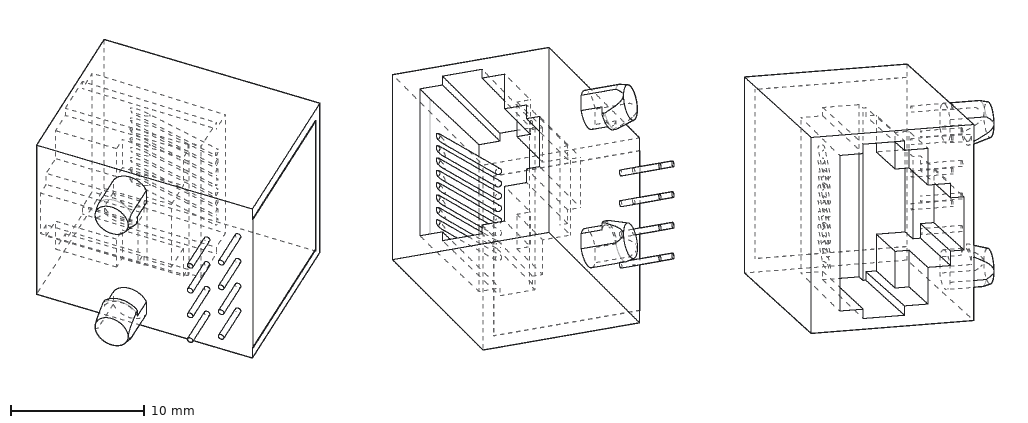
import cadquery as cq


BODY_LENGTH = 17.69
BODY_DEPTH = 12.75
BODY_WIDTH = 15.3
OVERALL_LENGTH = 17.74
OVERALL_DEPTH = 16.2
REAR_PANEL_DEPTH = 11.9
REAR_PANEL_WIDTH = 13.2

CAVITY_LENGTH = 11.0
PLUG_WIDTH = 12.14
PLUG_TOP_Y = 10.5
SHELF_Y = 5.74

TOP_TAPER_START = 1.95
TOP_TAPER_DROP = 0.21

GROOVE_WIDTH = 13.6
GROOVE_TOP_Y = 8.67
GROOVE_BOTTOM_Y = 5.44
GROOVE_DRAFT = 0.08

SHELF_LENGTH = 10.0
SHOULDER_Y = 3.6
SHOULDER_BACK_Y = 4.69
SHOULDER_LENGTH = 5.0
LATCH_WIDTH = 6.42
LATCH_Y = 1.82
LATCH_BACK_Y = 2.42
LATCH_LENGTH = 8.0
TONGUE_WIDTH = 4.15
TONGUE_Y = 0.77

CONTACT_COUNT = 8
CONTACT_PITCH = 1.02
CONTACT_DIAMETER = 0.5
CONTACT_BEND_X = 3.45
CONTACT_BEND_Y = 10.49
CONTACT_ROOT_RUN = 0.5
CONTACT_EMBED = 1.0
CONTACT_END_Y = 8.7

PIN_DIAMETER = 0.46
PIN_LENGTH = 3.2
PIN_PITCH = 2.54
PIN_ROWS = 2
PINS_PER_ROW = 4
PIN_FRONT_ROW_X = 13.98

POST_X = 7.65
POST_SPACING = 11.43
POST_LENGTH = OVERALL_DEPTH - BODY_DEPTH
POST_RADIUS = 1.5
POST_FLAT_WIDTH = 2.72
POST_TIP_RADIUS = 1.355
POST_CHAMFER_START = 2.82
BARB_RADIUS = 1.8
BARB_START = 1.68
BARB_TAPER_START = 1.92


def block(x_range, y_range, width):
    """Box spanning the X and Y ranges, centred on Z = 0."""
    length = x_range[1] - x_range[0]
    depth = y_range[1] - y_range[0]
    box = cq.Workplane("XY").box(length, depth, width, centered=(False, False, True))
    return box.translate((x_range[0], y_range[0], 0))


def make_housing():
    body = block((0, BODY_LENGTH), (0, BODY_DEPTH), BODY_WIDTH)
    rear_panel = block((BODY_LENGTH, OVERALL_LENGTH), (0, REAR_PANEL_DEPTH), REAR_PANEL_WIDTH)
    return body.union(rear_panel)


def make_main_cavity():
    """Plug space with a sloping top wall and a shallower shelf at the bottom."""
    outline = [
        (0, PLUG_TOP_Y),
        (TOP_TAPER_START, PLUG_TOP_Y),
        (CAVITY_LENGTH, PLUG_TOP_Y - TOP_TAPER_DROP),
        (CAVITY_LENGTH, SHELF_Y),
        (SHELF_LENGTH, SHELF_Y),
        (SHELF_LENGTH, SHOULDER_BACK_Y),
        (0, SHOULDER_BACK_Y),
    ]
    profile = cq.Workplane("XY").polyline(outline).close()
    return profile.extrude(PLUG_WIDTH / 2, both=True)


def make_groove_cavity():
    """Wider band for the side grooves, narrowing slightly toward the rear."""
    middle_y = (GROOVE_TOP_Y + GROOVE_BOTTOM_Y) / 2
    height = GROOVE_TOP_Y - GROOVE_BOTTOM_Y
    inset = 2 * GROOVE_DRAFT
    return (
        cq.Workplane("YZ", origin=(0, middle_y, 0))
        .rect(height, GROOVE_WIDTH)
        .workplane(offset=CAVITY_LENGTH)
        .rect(height - inset, GROOVE_WIDTH - inset)
        .loft(ruled=True)
    )


def make_cavity():
    shelf_filler = block((SHELF_LENGTH, CAVITY_LENGTH), (0, SHELF_Y), BODY_WIDTH)
    cavity = make_main_cavity().union(make_groove_cavity()).cut(shelf_filler)
    cavity = cavity.union(block((0, SHOULDER_LENGTH), (SHOULDER_Y, GROOVE_TOP_Y), PLUG_WIDTH))
    cavity = cavity.union(block((0, SHELF_LENGTH), (LATCH_BACK_Y, GROOVE_TOP_Y), LATCH_WIDTH))
    cavity = cavity.union(block((0, LATCH_LENGTH), (LATCH_Y, GROOVE_TOP_Y), LATCH_WIDTH))
    return cavity.union(block((0, LATCH_LENGTH), (TONGUE_Y, GROOVE_TOP_Y), TONGUE_WIDTH))


def make_contacts():
    """Wires leaving the top wall at 45 degrees, then sloping gently to the rear cavity wall."""
    slope = (CONTACT_BEND_Y - CONTACT_END_Y) / (CAVITY_LENGTH - CONTACT_BEND_X)
    root = (CONTACT_BEND_X - CONTACT_ROOT_RUN, CONTACT_BEND_Y + CONTACT_ROOT_RUN)
    bend = (CONTACT_BEND_X, CONTACT_BEND_Y)
    end = (CAVITY_LENGTH + CONTACT_EMBED, CONTACT_END_Y - slope * CONTACT_EMBED)
    path = cq.Workplane("XY").polyline([root, bend, end])
    section = cq.Plane(origin=(root[0], root[1], 0), xDir=(0, 0, 1), normal=(1, -1, 0))
    wire = cq.Workplane(section).circle(CONTACT_DIAMETER / 2).sweep(path, transition="right")

    contacts = cq.Workplane("XY")
    for index in range(CONTACT_COUNT):
        z = (index - (CONTACT_COUNT - 1) / 2) * CONTACT_PITCH
        contacts = contacts.add(wire.translate((0, 0, z)))
    return contacts.combine()


def make_pins():
    """Two staggered rows of round pins below the board face."""
    points = []
    for row in range(PIN_ROWS):
        x = PIN_FRONT_ROW_X + row * PIN_PITCH
        shift = (row - (PIN_ROWS - 1) / 2) * PIN_PITCH / 2
        for index in range(PINS_PER_ROW):
            z = (index - (PINS_PER_ROW - 1) / 2) * PIN_PITCH + shift
            points.append((x, z))
    return cq.Workplane("XZ").pushPoints(points).circle(PIN_DIAMETER / 2).extrude(PIN_LENGTH)


def make_post():
    """Upper post: flattened round shank with a barb on the side facing Z = 0."""
    shank = (
        cq.Workplane("XY")
        .polyline([
            (0, 0),
            (POST_RADIUS, 0),
            (POST_RADIUS, -POST_CHAMFER_START),
            (POST_TIP_RADIUS, -POST_LENGTH),
            (0, -POST_LENGTH),
        ])
        .close()
        .revolve(360, (0, 0), (0, 1))
    )
    barb = (
        cq.Workplane("XY")
        .polyline([
            (0, -BARB_START),
            (BARB_RADIUS, -BARB_START),
            (BARB_RADIUS, -BARB_TAPER_START),
            (POST_TIP_RADIUS, -POST_LENGTH),
            (0, -POST_LENGTH),
        ])
        .close()
        .revolve(180, (0, 0), (0, 1))
    )
    half_flat = POST_FLAT_WIDTH / 2
    between_flats = block((-half_flat, half_flat), (-POST_LENGTH, 0), 4 * BARB_RADIUS)
    post = shank.union(barb).intersect(between_flats)
    return post.translate((POST_X, 0, POST_SPACING / 2))


upper_post = make_post()
lower_post = upper_post.mirror("XY")

result = make_housing().cut(make_cavity()).union(make_contacts()).union(make_pins())
result = result.union(upper_post).union(lower_post)